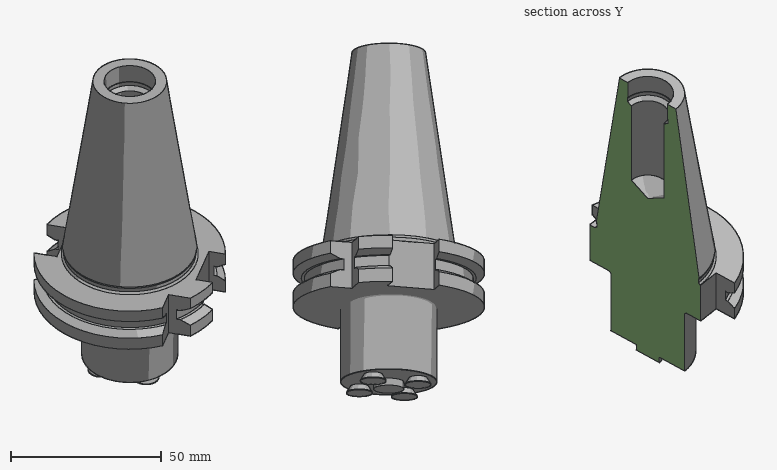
import cadquery as cq
import math

GAUGE_DIA = 44.45
TAPER_LENGTH = 68.4
TAPER_RATIO = 7 / 24
TAPER_OVERRUN = 0.35
TAPER_TOP_RADIUS = (GAUGE_DIA - TAPER_RATIO * TAPER_LENGTH) / 2
TAPER_FOOT_RADIUS = (GAUGE_DIA + TAPER_RATIO * TAPER_OVERRUN) / 2

NECK_DIA = 44.0
NECK_TOP_Z = -1.1
NECK_FOOT_CHAMFER = 0.7

FLANGE_DIA = 63.5
FLANGE_TOP_Z = -3.2
FLANGE_BOTTOM_Z = -19.0
GROOVE_FLOOR_DIA = 56.0
GROOVE_FLANK_ANGLE = 30.0
GROOVE_TOP_Z = -9.08
GROOVE_BOTTOM_Z = -12.83
GROOVE_LIP_RADIUS = 29.0

SLOT_WIDTH = 16.1
SLOT_LEFT_X = -22.8
SLOT_RIGHT_X = 25.0
NOTCH_OFFSET = 18.4

SPIGOT_DIA = 32.0
SPIGOT_BOTTOM_Z = -44.85
SPIGOT_ROOT_FILLET = 1.0
SPIGOT_END_CHAMFER = 0.15

OVERALL_LENGTH = 115.65
STUD_HEIGHT = OVERALL_LENGTH - TAPER_LENGTH + SPIGOT_BOTTOM_Z
PILOT_DIA = 9.99
STUD_ROOT_DIA = 5.99
STUD_END_DIA = 8.6
STUD_RIM_HEIGHT = 0.3
STUD_COUNT = 4
STUD_CIRCLE_RADIUS = 11.0
STUD_START_ANGLE = 45.0

BORE_DIA = 17.01
BORE_DEPTH = 6.8
RELIEF_DIA = 17.41
RELIEF_END_DEPTH = 8.4
DRILL_DIA = 14.0
DRILL_DEPTH = 42.0
DRILL_POINT_ANGLE = 120.0

SELECTION_MARGIN = 0.01


def revolve_outline(outline):
    """Turn a closed outline of (radius, Z) points about the Z axis."""
    return cq.Workplane("XZ").polyline(outline).close().revolve(360, (0, 0, 0), (0, 1, 0))


def make_body():
    """Taper, neck, grooved flange and spigot as one turned body."""
    neck_radius = NECK_DIA / 2
    flange_radius = FLANGE_DIA / 2
    floor_radius = GROOVE_FLOOR_DIA / 2
    spigot_radius = SPIGOT_DIA / 2
    flank_slope = math.tan(math.radians(GROOVE_FLANK_ANGLE))
    flank_height = (flange_radius - GROOVE_LIP_RADIUS) * flank_slope
    body = revolve_outline([
        (0, TAPER_LENGTH),
        (TAPER_TOP_RADIUS, TAPER_LENGTH),
        (TAPER_FOOT_RADIUS, -TAPER_OVERRUN),
        (neck_radius, NECK_TOP_Z),
        (neck_radius, FLANGE_TOP_Z + NECK_FOOT_CHAMFER),
        (neck_radius + NECK_FOOT_CHAMFER, FLANGE_TOP_Z),
        (flange_radius, FLANGE_TOP_Z),
        (flange_radius, GROOVE_TOP_Z + flank_height),
        (GROOVE_LIP_RADIUS, GROOVE_TOP_Z),
        (floor_radius, GROOVE_TOP_Z),
        (floor_radius, GROOVE_BOTTOM_Z),
        (GROOVE_LIP_RADIUS, GROOVE_BOTTOM_Z),
        (flange_radius, GROOVE_BOTTOM_Z - flank_height),
        (flange_radius, FLANGE_BOTTOM_Z),
        (spigot_radius, FLANGE_BOTTOM_Z),
        (spigot_radius, SPIGOT_BOTTOM_Z + SPIGOT_END_CHAMFER),
        (spigot_radius - SPIGOT_END_CHAMFER, SPIGOT_BOTTOM_Z),
        (0, SPIGOT_BOTTOM_Z),
    ])
    at_flange_bottom = cq.selectors.BoxSelector(
        (-FLANGE_DIA, -FLANGE_DIA, FLANGE_BOTTOM_Z - SELECTION_MARGIN),
        (FLANGE_DIA, FLANGE_DIA, FLANGE_BOTTOM_Z + SELECTION_MARGIN),
    )
    spigot_root = cq.selectors.RadiusNthSelector(0)
    return body.edges(at_flange_bottom).edges(spigot_root).fillet(SPIGOT_ROOT_FILLET)


def make_bore():
    """Bore with a relief, a conical seat and a deeper drilled hole with a pointed end."""
    bore_radius = BORE_DIA / 2
    relief_radius = RELIEF_DIA / 2
    drill_radius = DRILL_DIA / 2
    cone_slope = 1 / math.tan(math.radians(DRILL_POINT_ANGLE / 2))
    bore_end_z = TAPER_LENGTH - BORE_DEPTH
    relief_end_z = TAPER_LENGTH - RELIEF_END_DEPTH
    seat_end_z = relief_end_z - (relief_radius - drill_radius) * cone_slope
    drill_end_z = TAPER_LENGTH - DRILL_DEPTH
    return revolve_outline([
        (0, TAPER_LENGTH),
        (bore_radius, TAPER_LENGTH),
        (bore_radius, bore_end_z),
        (relief_radius, bore_end_z),
        (relief_radius, relief_end_z),
        (drill_radius, seat_end_z),
        (drill_radius, drill_end_z),
        (0, drill_end_z - drill_radius * cone_slope),
    ])


def flange_cutter(x_min, x_max, y_min, y_max):
    """Block through the flange thickness, bounded in X and Y."""
    return (
        cq.Workplane("XY", origin=(0, 0, FLANGE_BOTTOM_Z))
        .moveTo(x_min, y_min)
        .lineTo(x_max, y_min)
        .lineTo(x_max, y_max)
        .lineTo(x_min, y_max)
        .close()
        .extrude(FLANGE_TOP_Z - FLANGE_BOTTOM_Z)
    )


def cut_flange(body):
    """Cut the two drive slots and the square-cornered orientation notch."""
    half_width = SLOT_WIDTH / 2
    left_slot = flange_cutter(-FLANGE_DIA, SLOT_LEFT_X, -half_width, half_width)
    right_slot = flange_cutter(SLOT_RIGHT_X, FLANGE_DIA, -half_width, half_width)
    notch = flange_cutter(NOTCH_OFFSET, FLANGE_DIA, -FLANGE_DIA, -NOTCH_OFFSET)
    return body.cut(left_slot).cut(right_slot).cut(notch)


def add_end_pins(body):
    """Add the central pilot pin and the ring of studs that flare toward their free ends."""
    end_z = SPIGOT_BOTTOM_Z - STUD_HEIGHT
    pilot = (
        cq.Workplane("XY", origin=(0, 0, SPIGOT_BOTTOM_Z))
        .circle(PILOT_DIA / 2)
        .extrude(-STUD_HEIGHT)
    )
    body = body.union(pilot)
    stud = revolve_outline([
        (0, SPIGOT_BOTTOM_Z),
        (STUD_ROOT_DIA / 2, SPIGOT_BOTTOM_Z),
        (STUD_END_DIA / 2, end_z + STUD_RIM_HEIGHT),
        (STUD_END_DIA / 2, end_z),
        (0, end_z),
    ])
    for index in range(STUD_COUNT):
        angle = math.radians(STUD_START_ANGLE + index * 360 / STUD_COUNT)
        stud_x = STUD_CIRCLE_RADIUS * math.cos(angle)
        stud_y = STUD_CIRCLE_RADIUS * math.sin(angle)
        body = body.union(stud.translate((stud_x, stud_y, 0)))
    return body


result = add_end_pins(cut_flange(make_body()).cut(make_bore()))